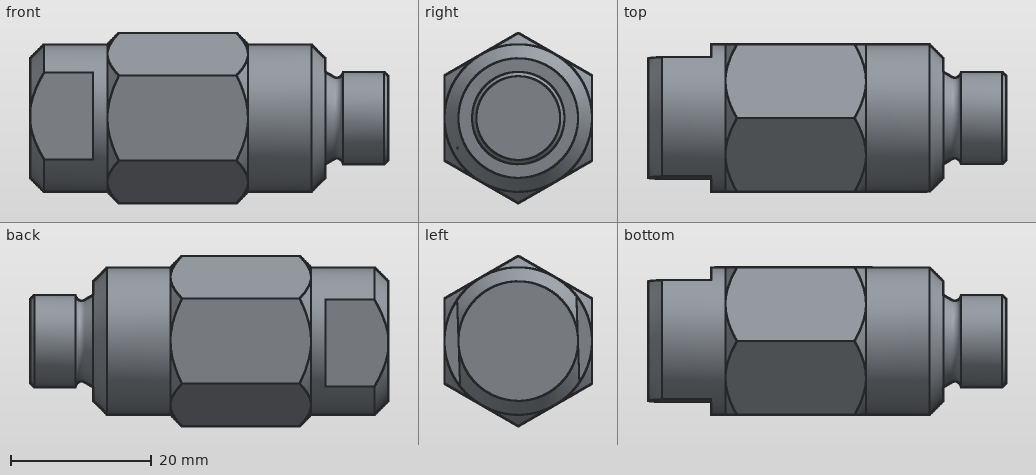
import cadquery as cq
import math

total_length = 51.0
flats_end = 9.0
hex_start = 11.0
hex_end = 31.0
body_end = 42.0
spigot_start = 44.5

body_diameter = 21.0
hex_across_flats = body_diameter
spigot_diameter = 13.15
flats_width = 17.0
flats_tilt = 2.0

body_chamfer = 2.0
spigot_chamfer = 0.6
groove_arc_start = 43.25
groove_cone_angle = 30.0

body_radius = body_diameter / 2
spigot_radius = spigot_diameter / 2
groove_cone_depth = (groove_arc_start - body_end) * math.tan(math.radians(groove_cone_angle))
hex_across_corners = hex_across_flats / math.cos(math.radians(30))


def make_turned_body():
    """Revolve the round body, the relief groove and the spigot about X."""
    profile = (
        cq.Workplane("XY")
        .lineTo(0, body_radius - body_chamfer)
        .lineTo(body_chamfer, body_radius)
        .lineTo(body_end - body_chamfer, body_radius)
        .lineTo(body_end, body_radius - body_chamfer)
        .lineTo(body_end, spigot_radius)
        .lineTo(groove_arc_start, spigot_radius - groove_cone_depth)
        .tangentArcPoint((spigot_start, spigot_radius), relative=False)
        .lineTo(total_length - spigot_chamfer, spigot_radius)
        .lineTo(total_length, spigot_radius - spigot_chamfer)
        .lineTo(total_length, 0)
        .close()
    )
    return profile.revolve(360, (0, 0, 0), (1, 0, 0))


def make_hexagon():
    """Hexagon with corners on Z, its ends coned at 45 degrees down to the body."""
    hex_length = hex_end - hex_start
    corner_radius = hex_across_corners / 2
    cone_length = corner_radius - body_radius
    prism = (
        cq.Workplane("YZ", origin=(hex_start, 0, 0))
        .transformed(rotate=(0, 0, 90))
        .polygon(6, hex_across_corners)
        .extrude(hex_length)
    )
    envelope = (
        cq.Workplane("YZ", origin=(hex_start, 0, 0))
        .circle(corner_radius)
        .extrude(hex_length)
        .faces("<X or >X")
        .chamfer(cone_length)
    )
    return prism.intersect(envelope)


def make_flat_cutter(side):
    """Block that removes one wrench flat on the +Y (1) or -Y (-1) side."""
    block_depth = body_radius
    return (
        cq.Workplane("XY")
        .box(flats_end, block_depth, body_diameter, centered=(False, True, True))
        .translate((0, side * (flats_width + block_depth) / 2, 0))
        .rotate((0, 0, 0), (1, 0, 0), -flats_tilt)
    )


result = make_turned_body().union(make_hexagon())
for side in (1, -1):
    result = result.cut(make_flat_cutter(side))